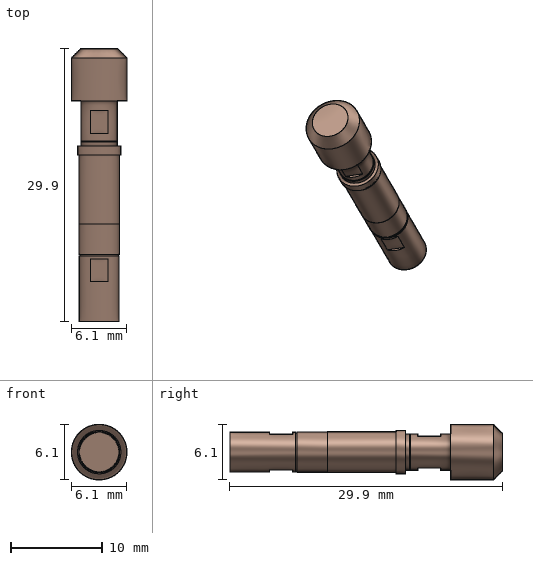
import cadquery as cq

total_length = 29.9

head_diameter = 6.1
neck_diameter = 4.0
neck_groove_diameter = 3.9
collar_diameter = 4.75
body_diameter = 4.48
front_body_diameter = 4.45
tip_groove_diameter = 4.25
tip_diameter = 4.4

head_chamfer = 1.02
head_length = 5.7
neck_groove_start = 10.1
neck_groove_width = 0.1
neck_groove_end = neck_groove_start + neck_groove_width
collar_start = 10.65
collar_length = 1.02
collar_end = collar_start + collar_length
front_body_start = 19.2
tip_groove_start = 22.55
tip_groove_width = 0.18
tip_start = tip_groove_start + tip_groove_width

flat_length = 2.5
neck_flat_start = 6.8
neck_flat_thickness = 3.5
tip_flat_start = 23.02
tip_flat_thickness = 3.95

head_end_y = total_length / 2


def cylinder(diameter, start, end):
    """Solid cylinder along the pin between two distances from the head end."""
    return (
        cq.Workplane("XZ", origin=(0, head_end_y - start, 0))
        .circle(diameter / 2)
        .extrude(end - start)
    )


def flats(diameter, thickness, start):
    """Material to remove for two opposite flats that leave the given thickness."""
    middle_y = head_end_y - start - flat_length / 2
    block = cq.Workplane("XY").box(diameter, flat_length, diameter)
    kept_core = cq.Workplane("XY").box(diameter, flat_length, thickness)
    return block.cut(kept_core).translate((0, middle_y, 0))


pin = cylinder(head_diameter, 0, head_length).faces(">Y").chamfer(head_chamfer)

sections = [
    (neck_diameter, head_length, neck_groove_start),
    (neck_groove_diameter, neck_groove_start, neck_groove_end),
    (neck_diameter, neck_groove_end, collar_start),
    (collar_diameter, collar_start, collar_end),
    (body_diameter, collar_end, front_body_start),
    (front_body_diameter, front_body_start, tip_groove_start),
    (tip_groove_diameter, tip_groove_start, tip_start),
    (tip_diameter, tip_start, total_length),
]
for diameter, start, end in sections:
    pin = pin.union(cylinder(diameter, start, end))

pin = pin.cut(flats(neck_diameter, neck_flat_thickness, neck_flat_start))
pin = pin.cut(flats(tip_diameter, tip_flat_thickness, tip_flat_start))

result = pin